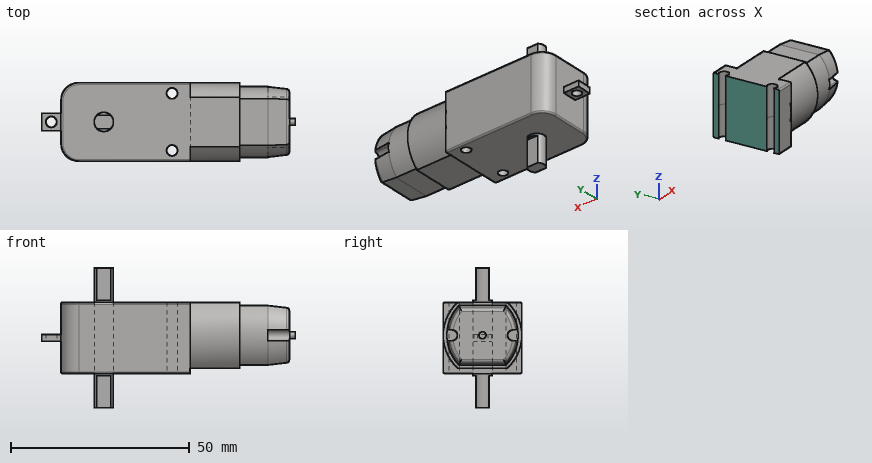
import cadquery as cq


box_start = -12.0
box_length = 36.15
box_width = 22.0
box_height = 19.95
corner_radius = 5.0
rim_fillet = 0.5

tab_length = 5.4
tab_width = 5.0
tab_thickness = 2.0
screw_diameter = 3.0
screw_x = 19.1
screw_spacing = 16.0

barrel_length = 13.9
barrel_height = 18.45
barrel_flat_width = 13.85

motor_length = 7.9
motor_width = 19.95
motor_height = 16.7
motor_flat_width = 13.05
cap_length = 6.0
cap_end_inset = 0.7
cap_end_flat_width = 12.65
cap_fillet = 1.0
groove_diameter = 3.0
groove_centre_y = 8.5
stub_diameter = 2.0
stub_length = 1.6

shaft_diameter = 5.4
shaft_length = 39.2
shaft_flat_width = 3.7
collar_height = 0.65

box_end = box_start + box_length
barrel_end = box_end + barrel_length
cap_start = barrel_end + motor_length
cap_end = cap_start + cap_length
cap_end_width = motor_width - 2 * cap_end_inset
cap_end_height = motor_height - 2 * cap_end_inset
motor_axis_z = (box_height - barrel_height) / 2


def bowed_profile(x, width, height, flat_width):
    """Closed outline across the motor axis with flat top and bottom and arc sides."""
    half_width = width / 2
    half_height = height / 2
    half_flat = flat_width / 2
    return (
        cq.Workplane("YZ", origin=(x, 0, motor_axis_z))
        .moveTo(-half_flat, -half_height)
        .lineTo(half_flat, -half_height)
        .threePointArc((half_width, 0), (half_flat, half_height))
        .lineTo(-half_flat, half_height)
        .threePointArc((-half_width, 0), (-half_flat, -half_height))
        .close()
    )


def make_gearbox():
    """Rounded box with barrel and tab, bored for the shaft and the screws."""
    box = (
        cq.Workplane("XY")
        .box(box_length, box_width, box_height)
        .translate((box_start + box_length / 2, 0, 0))
        .edges("|Z and <X")
        .fillet(corner_radius)
    )
    box = box.faces("<Z or >Z").edges("not >X").fillet(rim_fillet)

    barrel = bowed_profile(box_end, box_width, barrel_height, barrel_flat_width).extrude(barrel_length)

    tab_x = box_start - tab_length / 2
    tab = cq.Workplane("XY").box(tab_length, tab_width, tab_thickness).translate((tab_x, 0, 0))

    screw_points = [(tab_x, 0), (screw_x, -screw_spacing / 2), (screw_x, screw_spacing / 2)]
    screw_holes = (
        cq.Workplane("XY")
        .pushPoints(screw_points)
        .circle(screw_diameter / 2)
        .extrude(box_height / 2, both=True)
    )
    shaft_bore = cq.Workplane("XY").circle(shaft_diameter / 2).extrude(box_height / 2, both=True)
    return box.union(barrel).union(tab).cut(screw_holes).cut(shaft_bore)


def make_motor():
    """Motor can with a tapered, grooved end cap and a shaft stub."""
    can = bowed_profile(barrel_end, motor_width, motor_height, motor_flat_width).extrude(motor_length)
    cap_base = bowed_profile(cap_start, motor_width, motor_height, motor_flat_width).val()
    cap_tip = bowed_profile(cap_end, cap_end_width, cap_end_height, cap_end_flat_width).val()
    cap = cq.Workplane(cq.Solid.makeLoft([cap_base, cap_tip], True))
    cap = cap.faces(">X").edges().fillet(cap_fillet)

    groove_floor = groove_centre_y - groove_diameter / 2
    groove_length = motor_width / 2 + groove_diameter - groove_floor
    groove_middle_y = groove_floor + groove_length / 2
    grooves = (
        cq.Workplane("YZ", origin=(cap_start, 0, motor_axis_z))
        .pushPoints([(-groove_middle_y, 0), (groove_middle_y, 0)])
        .slot2D(groove_length, groove_diameter)
        .extrude(cap_length)
    )
    stub = (
        cq.Workplane("YZ", origin=(cap_end, 0, motor_axis_z))
        .circle(stub_diameter / 2)
        .extrude(stub_length)
    )
    return can.union(cap.cut(grooves)).union(stub)


def make_output_shaft():
    """Shaft through the gearbox: a full-round middle and two-flat ends."""
    round_length = box_height + 2 * collar_height
    bar = cq.Workplane("XY").circle(shaft_diameter / 2).extrude(shaft_length / 2, both=True)
    flat_slab = cq.Workplane("XY").box(shaft_diameter, shaft_flat_width, shaft_length)
    middle = cq.Workplane("XY").circle(shaft_diameter / 2).extrude(round_length / 2, both=True)
    return bar.intersect(flat_slab).union(middle)


gearbox = make_gearbox()
motor = make_motor()
output_shaft = make_output_shaft()

result = cq.Compound.makeCompound([gearbox.val(), motor.val(), output_shaft.val()])